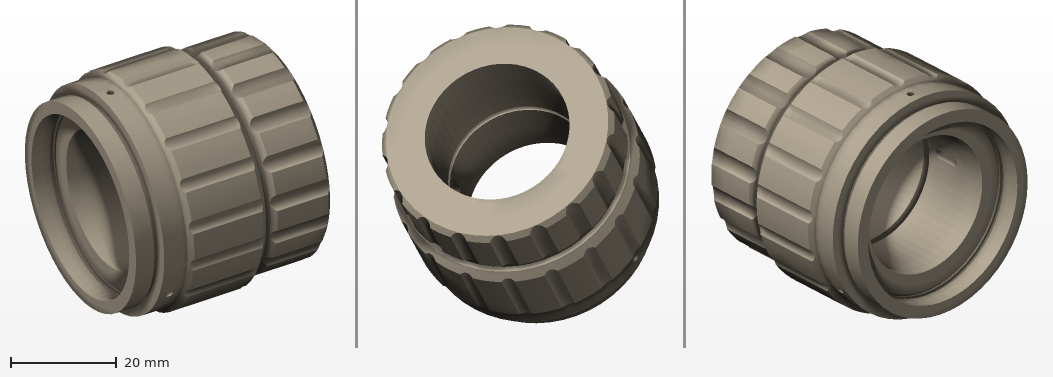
import cadquery as cq


threaded_nose_end = 4.0
flange_front = 5.0
flange_rear = 10.0
lock_ring_rear = 6.5
barrel_rear = 20.45
sleeve_rear = 25.0
focus_ring_rear = 27.5
grip_ring_front = 29.0
total_length = 42.0

bore_radius = 14.0
barrel_radius = 18.5
core_radius = 19.0
neck_radius = 21.5

nose_radius = 21.0
relief_radius = 20.5
flange_radius = 23.0
undercut_radius = 19.0
screw_hole_diameter = 1.55
screw_hole_y = (flange_front + flange_rear) / 2
screw_hole_count = 3
screw_hole_offset_angle = 4.0

lock_ring_chamfer = 0.5
slot_width = 2.0
slot_angle = 6.5
slot_front = 12.25
slot_rear = 18.5

recess_radius = 15.9
recess_depth = 1.55
index_hole_diameter = 1.55
index_hole_y = 27.05
index_hole_depth = 1.9

focus_ring_radius = 24.0
focus_front_chamfer = 1.0
focus_rear_chamfer = 1.5
focus_groove_radius = 2.0
focus_groove_center = 25.5
focus_groove_angle = 3.5

grip_ring_radius = 22.5
grip_chamfer = 1.0
grip_groove_radius = 1.95
grip_groove_center = 23.5

groove_count = 18
top_angle = 90.0


def turned(profile):
    """Revolve a closed outline of (radius, y) points about the Y axis."""
    return cq.Workplane("XY").polyline(profile).close().revolve(360, (0, 0, 0), (0, 1, 0))


def about_axis(shape, angle):
    """Turn a shape about the Y axis by an angle in degrees, from +X towards +Z."""
    return shape.rotate((0, 0, 0), (0, 1, 0), -angle)


def radial_hole(diameter, y, inner_radius, outer_radius, angle):
    """A cylinder that points outwards from the axis between two radii."""
    hole = (
        cq.Workplane("YZ", origin=(inner_radius, y, 0))
        .circle(diameter / 2)
        .extrude(outer_radius - inner_radius)
    )
    return about_axis(hole, angle)


def cut_grip_grooves(ring, groove_radius, center_radius, first_angle):
    """Cut evenly spaced round grooves along the outside of a ring."""
    groove = (
        cq.Workplane("XZ", origin=(center_radius, 0, 0))
        .circle(groove_radius)
        .extrude(-total_length)
    )
    for index in range(groove_count):
        ring = ring.cut(about_axis(groove, first_angle + index * 360 / groove_count))
    return ring


def make_mount():
    mount = turned([
        (barrel_radius, 0),
        (nose_radius, 0),
        (nose_radius, threaded_nose_end),
        (relief_radius, threaded_nose_end),
        (relief_radius, flange_front),
        (flange_radius, flange_front),
        (flange_radius, flange_rear),
        (neck_radius, flange_rear),
        (neck_radius, sleeve_rear),
        (barrel_radius, sleeve_rear),
        (barrel_radius, flange_front),
        (undercut_radius, flange_front),
        (undercut_radius, threaded_nose_end),
        (barrel_radius, threaded_nose_end),
    ])
    for index in range(screw_hole_count):
        angle = top_angle + screw_hole_offset_angle + index * 360 / screw_hole_count
        mount = mount.cut(
            radial_hole(screw_hole_diameter, screw_hole_y, bore_radius, focus_ring_radius, angle)
        )
    return mount


def make_lock_ring():
    return turned([
        (bore_radius, flange_front),
        (barrel_radius - lock_ring_chamfer, flange_front),
        (barrel_radius, flange_front + lock_ring_chamfer),
        (barrel_radius, lock_ring_rear),
        (bore_radius, lock_ring_rear),
    ])


def make_barrel():
    barrel = turned([
        (bore_radius, lock_ring_rear),
        (barrel_radius, lock_ring_rear),
        (barrel_radius, barrel_rear),
        (bore_radius, barrel_rear),
    ])
    slot = (
        cq.Workplane("YZ", origin=(0, (slot_front + slot_rear) / 2, 0))
        .slot2D(slot_rear - slot_front, slot_width)
        .extrude(focus_ring_radius)
    )
    return barrel.cut(about_axis(slot, slot_angle))


def make_eyepiece():
    recess_floor = barrel_rear + recess_depth
    eyepiece = turned([
        (recess_radius, barrel_rear),
        (barrel_radius, barrel_rear),
        (barrel_radius, sleeve_rear),
        (neck_radius, sleeve_rear),
        (neck_radius, grip_ring_front),
        (core_radius, grip_ring_front),
        (core_radius, total_length),
        (bore_radius, total_length),
        (bore_radius, recess_floor),
        (recess_radius, recess_floor),
    ])
    return eyepiece.cut(radial_hole(
        index_hole_diameter, index_hole_y, neck_radius - index_hole_depth, focus_ring_radius, top_angle
    ))


def make_focus_ring():
    ring = turned([
        (neck_radius, flange_rear),
        (focus_ring_radius - focus_front_chamfer, flange_rear),
        (focus_ring_radius, flange_rear + focus_front_chamfer),
        (focus_ring_radius, focus_ring_rear - focus_rear_chamfer),
        (focus_ring_radius - focus_rear_chamfer, focus_ring_rear),
        (neck_radius, focus_ring_rear),
    ])
    first_angle = top_angle + focus_groove_angle
    return cut_grip_grooves(ring, focus_groove_radius, focus_groove_center, first_angle)


def make_grip_ring():
    ring = turned([
        (core_radius, grip_ring_front),
        (grip_ring_radius - grip_chamfer, grip_ring_front),
        (grip_ring_radius, grip_ring_front + grip_chamfer),
        (grip_ring_radius, total_length - grip_chamfer),
        (grip_ring_radius - grip_chamfer, total_length),
        (core_radius, total_length),
    ])
    return cut_grip_grooves(ring, grip_groove_radius, grip_groove_center, top_angle)


mount = make_mount()
lock_ring = make_lock_ring()
barrel = make_barrel()
eyepiece = make_eyepiece()
focus_ring = make_focus_ring()
grip_ring = make_grip_ring()

result = cq.Compound.makeCompound([
    mount.solids().val(),
    lock_ring.solids().val(),
    barrel.solids().val(),
    eyepiece.solids().val(),
    focus_ring.solids().val(),
    grip_ring.solids().val(),
])